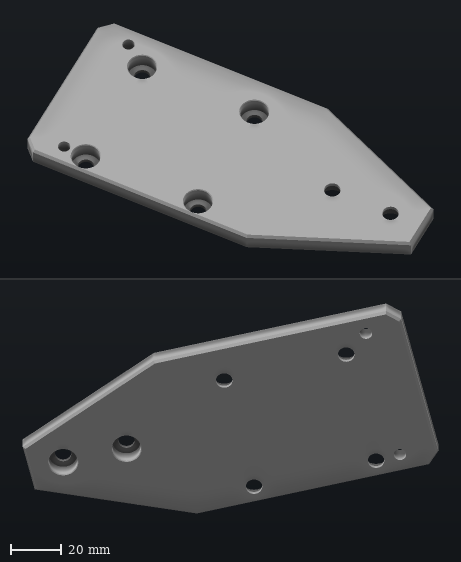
import cadquery as cq

length = 160
width = 72
thickness = 8
straight_length = 100.0
nose_width = 20.0
corner_cut = 5.0
edge_chamfer = 1.0

screw_diameter = 6.5
counterbore_diameter = 11.5
counterbore_depth = 6.4
rim_chamfer = 0.3
screw_pitch = 50.0
first_screw_x = 25.0
screw_center_y = -4.0

pin_diameter = 5.0
pin_x = 15.0
pin_spacing = 57.0
nose_hole_xs = (120, 146.0)


def plate():
    half_width = width / 2
    half_nose = nose_width / 2
    outline = [
        (0, half_width - corner_cut),
        (corner_cut, half_width),
        (straight_length, half_width),
        (length, half_nose),
        (length, -half_nose),
        (straight_length, -half_width),
        (corner_cut, -half_width),
        (0, corner_cut - half_width),
    ]
    body = cq.Workplane("XY").polyline(outline).close().extrude(thickness)
    return body.faces("<Z or >Z").edges().chamfer(edge_chamfer)


def cut_through_holes(body, centers, diameter):
    holes = cq.Workplane("XY").pushPoints(centers).circle(diameter / 2).extrude(thickness)
    return body.cut(holes)


def cut_counterbores(body, centers):
    """Cut bevelled counterbores into the top face."""
    top = cq.Workplane("XY", origin=(0, 0, thickness)).pushPoints(centers)
    counterbores = top.circle(counterbore_diameter / 2).extrude(-counterbore_depth)
    rims = top.circle(counterbore_diameter / 2 + rim_chamfer).extrude(-rim_chamfer, taper=45)
    return body.cut(counterbores).cut(rims)


def turn_over(body):
    """Swap the top and bottom faces, keeping the plate between Z = 0 and its thickness."""
    return body.mirror("XY").translate((0, 0, thickness))


screw_centers = [
    (first_screw_x + column * screw_pitch, screw_center_y + side * screw_pitch / 2)
    for column in (0, 1)
    for side in (-1, 1)
]
pin_centers = [(pin_x, side * pin_spacing / 2) for side in (-1, 1)]
nose_centers = [(x, 0) for x in nose_hole_xs]

result = plate()
result = cut_through_holes(result, screw_centers + nose_centers, screw_diameter)
result = cut_through_holes(result, pin_centers, pin_diameter)
result = cut_counterbores(result, screw_centers)
result = turn_over(cut_counterbores(turn_over(result), nose_centers))